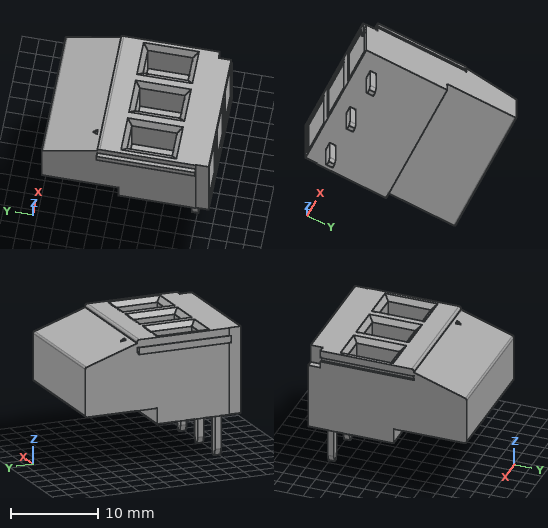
import cadquery as cq


pole_count = 3
pitch = 5.0
pole_positions = [(i - (pole_count - 1) / 2) * pitch for i in range(pole_count)]

total_depth = 19.5
body_width = 15.05
body_height = 10.45
plate_depth = 1.48
plate_inset = 0.08
foot_end = 10.51
overhang_base = 1.91
step_y = 13.0
step_base = 10.05
roof_end = 7.9
step_radius = 0.3
back_radius = 0.25
left_side = -body_width / 2
right_side = body_width / 2

dovetail_depth = 0.55
dovetail_neck = 0.53
dovetail_tip = 0.84
dovetail_z = 9.26

notch_width = 0.8
notch_height = 2.26

panel_width = 4.05
panel_margin = 0.72
panel_depth = 0.2
notch_wall = 0.5

opening_width = 4.21
opening_length = 6.47
opening_y = 7.05
opening_chamfer = 0.6
opening_depth = 5.0

pin_width = 1.0
pin_thickness = 0.76
pin_front = 1.6
pin_length = 5.45
pin_tip_width = 0.49
pin_tip_length = 0.82

arrow_y = 13.44
arrow_width = 0.55
arrow_length = 0.5
arrow_depth = 0.1


def box(x_min, x_max, y_min, y_max, z_min, z_max):
    """Axis-aligned box given by its limits."""
    size = (x_max - x_min, y_max - y_min, z_max - z_min)
    return cq.Workplane("XY").box(*size, centered=False).translate((x_min, y_min, z_min))


def make_body():
    """Housing profile extruded over the full width, with rounded back edges."""
    profile = [
        (plate_depth, 0),
        (foot_end, 0),
        (foot_end, overhang_base),
        (total_depth, overhang_base),
        (total_depth, roof_end),
        (step_y, step_base),
        (step_y, body_height),
        (plate_depth, body_height),
    ]
    body = cq.Workplane("YZ").polyline(profile).close().extrude(body_width / 2, both=True)
    body = body.faces(">Y").edges("|X").fillet(back_radius)
    return body.faces(">Z").edges("|X and >Y").fillet(step_radius)


def make_plate():
    """Front plate with its corner notch and one recessed panel per pole."""
    plate = box(left_side + plate_inset, right_side, 0, plate_depth, 0, body_height)
    notch_left = right_side - notch_width
    notch_base = body_height - notch_height
    plate = plate.cut(box(notch_left, right_side, 0, plate_depth, notch_base, body_height))

    panels = cq.Workplane("XY")
    for x in pole_positions:
        panels = panels.add(
            box(
                x - panel_width / 2,
                x + panel_width / 2,
                0,
                panel_depth,
                panel_margin,
                body_height - panel_margin,
            )
        )
    notch_border = box(
        notch_left - notch_wall, right_side, 0, panel_depth, notch_base - notch_wall, body_height
    )
    return plate.cut(panels.combine().cut(notch_border))


def make_dovetail(side_x):
    """Dovetail bar that widens leftwards from the given side plane."""
    tip_x = side_x - dovetail_depth
    profile = [
        (side_x, dovetail_z - dovetail_neck / 2),
        (side_x, dovetail_z + dovetail_neck / 2),
        (tip_x, dovetail_z + dovetail_tip / 2),
        (tip_x, dovetail_z - dovetail_tip / 2),
    ]
    bar = cq.Workplane("XZ", origin=(0, plate_depth, 0)).polyline(profile).close()
    return bar.extrude(plate_depth - step_y)


def make_opening(x):
    """Screw opening: straight shaft below a 45 degree lead-in."""
    rim = cq.Workplane("XY", origin=(x, opening_y, body_height))
    shaft_width = opening_width - 2 * opening_chamfer
    shaft_length = opening_length - 2 * opening_chamfer
    shaft = rim.rect(shaft_width, shaft_length).extrude(-opening_depth)
    lead_in = rim.rect(opening_width, opening_length)
    lead_in = lead_in.workplane(offset=-opening_chamfer).rect(shaft_width, shaft_length).loft(ruled=True)
    return shaft.union(lead_in)


def make_pin(x):
    """Flat solder pin with a tapered tip."""
    taper_z = pin_tip_length - pin_length
    profile = [
        (x - pin_width / 2, 0),
        (x - pin_width / 2, taper_z),
        (x - pin_tip_width / 2, -pin_length),
        (x + pin_tip_width / 2, -pin_length),
        (x + pin_width / 2, taper_z),
        (x + pin_width / 2, 0),
    ]
    pin = cq.Workplane("XZ", origin=(0, pin_front, 0)).polyline(profile).close()
    return pin.extrude(-pin_thickness)


def make_arrow(x):
    """Triangular engraving that follows the sloped roof and points to the back."""
    triangle = [
        (x - arrow_width / 2, arrow_y),
        (x + arrow_width / 2, arrow_y),
        (x, arrow_y + arrow_length),
    ]
    prism = cq.Workplane("XY").polyline(triangle).close().extrude(body_height)
    roof_layer = [
        (step_y, step_base - arrow_depth),
        (total_depth, roof_end - arrow_depth),
        (total_depth, roof_end),
        (step_y, step_base),
    ]
    layer = cq.Workplane("YZ").polyline(roof_layer).close().extrude(body_width / 2, both=True)
    return prism.intersect(layer)


result = make_body().union(make_plate())
result = result.union(make_dovetail(left_side))
result = result.cut(make_dovetail(right_side))
for pole_x in pole_positions:
    result = result.cut(make_opening(pole_x))
    result = result.union(make_pin(pole_x))
result = result.cut(make_arrow(pole_positions[0]))